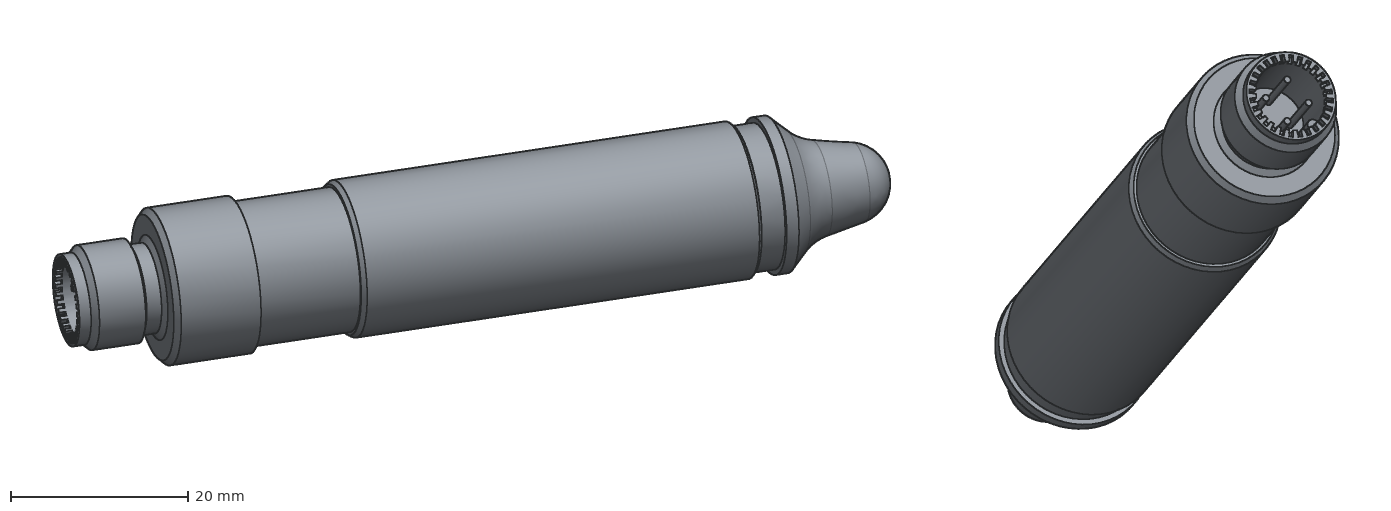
import cadquery as cq
import math

LENGTH = 96.85
BODY_R = 18.0 / 2

RIM_R = 10.6 / 2
RIM_END = 1.4
COLLAR_R = 12.0 / 2
COLLAR_START = 2.1
COLLAR_END = 7.6
COLLAR_BACK_END = 7.9
NECK_R = 10.4 / 2
NECK_END = 9.7
BODY_START = 10.2
BODY_CHAMFER = 0.7

GROOVE_R = 16.6 / 2
GROOVE_START = 20.2
GROOVE_END = 32.2
SLEEVE_START = 32.7
SLEEVE_CHAMFER = 0.4
SLEEVE_END = 79.3
END_GROOVE_R = 16.8 / 2

FLANGE_START = 82.1
FLANGE_END = 83.6
FLARE_START = 85.4
FLARE_START_R = 7.3
FLARE_MID = 86.8
FLARE_MID_R = 6.2
TAPER_START = 88.5
TAPER_START_R = 5.5
DOME_START = 93.3
DOME_START_R = 4.6

SOCKET_R = 4.2
SOCKET_DEPTH = 8.7
SPLINE_COUNT = 28
SPLINE_R = 9.9 / 2
SPLINE_WIDTH = 0.5
SPLINE_DEPTH = 0.8
PIN_COUNT = 4
PIN_CIRCLE_R = 2.5
PIN_R = 0.4
PIN_RECESS = 1.5
KEY_CIRCLE_R = 4.1
KEY_R = 0.7
KEY_RECESS = 0.9


def turned_body():
    """Solid of revolution carrying the complete outer outline."""
    dome_height = LENGTH - DOME_START
    dome_r = (DOME_START_R**2 + dome_height**2) / (2 * dome_height)
    dome_half_angle = math.asin(DOME_START_R / dome_r) / 2
    dome_mid = (
        dome_r * math.sin(dome_half_angle),
        LENGTH - dome_r * (1 - math.cos(dome_half_angle)),
    )
    outline = (
        cq.Workplane("XY")
        .moveTo(0, 0)
        .lineTo(RIM_R, 0)
        .lineTo(RIM_R, RIM_END)
        .lineTo(COLLAR_R, COLLAR_START)
        .lineTo(COLLAR_R, COLLAR_END)
        .lineTo(NECK_R, COLLAR_BACK_END)
        .lineTo(NECK_R, NECK_END)
        .lineTo(COLLAR_R, BODY_START)
        .lineTo(BODY_R - BODY_CHAMFER, BODY_START)
        .lineTo(BODY_R, BODY_START + BODY_CHAMFER)
        .lineTo(BODY_R, GROOVE_START)
        .lineTo(GROOVE_R, GROOVE_START)
        .lineTo(GROOVE_R, GROOVE_END)
        .lineTo(BODY_R - SLEEVE_CHAMFER, GROOVE_END)
        .lineTo(BODY_R, SLEEVE_START)
        .lineTo(BODY_R, SLEEVE_END - SLEEVE_CHAMFER)
        .lineTo(BODY_R - SLEEVE_CHAMFER, SLEEVE_END)
        .lineTo(END_GROOVE_R, SLEEVE_END)
        .lineTo(END_GROOVE_R, FLANGE_START)
        .lineTo(BODY_R, FLANGE_START)
        .lineTo(BODY_R, FLANGE_END)
        .lineTo(FLARE_START_R, FLARE_START)
        .threePointArc((FLARE_MID_R, FLARE_MID), (TAPER_START_R, TAPER_START))
        .lineTo(DOME_START_R, DOME_START)
        .threePointArc(dome_mid, (0, LENGTH))
        .close()
    )
    return outline.revolve(360, (0, 0, 0), (0, 1, 0))


def rod(radius, start, end, x=0.0, z=0.0):
    """Cylinder along Y between two stations."""
    base = cq.Vector(x, start, z)
    return cq.Workplane(cq.Solid.makeCylinder(radius, end - start, base, cq.Vector(0, 1, 0)))


def socket_splines():
    """Ring of slots cut into the socket wall at the mouth."""
    blades = cq.Workplane("XY")
    for i in range(SPLINE_COUNT):
        blade = (
            cq.Workplane("XY")
            .box(SPLINE_R, SPLINE_DEPTH, SPLINE_WIDTH, centered=(False, False, True))
            .rotate((0, 0, 0), (0, 1, 0), i * 360 / SPLINE_COUNT)
        )
        blades = blades.add(blade)
    return blades.combine().intersect(rod(SPLINE_R, 0, SPLINE_DEPTH))


def contact_pins():
    """Contacts standing on the socket floor."""
    pins = cq.Workplane("XY")
    for i in range(PIN_COUNT):
        angle = 2 * math.pi * i / PIN_COUNT
        x = PIN_CIRCLE_R * math.cos(angle)
        z = PIN_CIRCLE_R * math.sin(angle)
        pins = pins.add(rod(PIN_R, PIN_RECESS, SOCKET_DEPTH, x, z))
    return pins.combine()


def coding_key():
    """Rounded key along the socket wall, diagonally towards +X and -Z."""
    offset = KEY_CIRCLE_R / math.sqrt(2)
    return rod(KEY_R, KEY_RECESS, SOCKET_DEPTH, offset, -offset)


socket = rod(SOCKET_R, 0, SOCKET_DEPTH).union(socket_splines())
socket = socket.cut(contact_pins()).cut(coding_key())
result = turned_body().cut(socket)